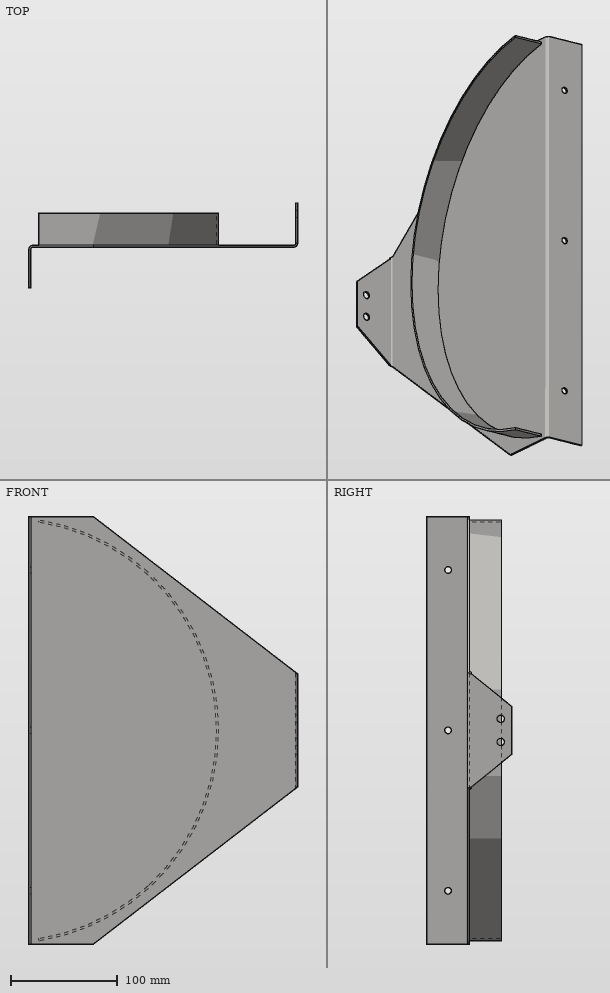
import cadquery as cq
import math

height = 400.0
width = 251.5
depth = 79.5
sheet = 2.0
bend_inner = 2.0
bend_outer = bend_inner + sheet
front_flange = 40.0
rear_flange = depth + sheet - front_flange

taper_start = 60.5
narrow_half = 53.0
tip_half = 22.5

mount_diameter = 6.0
mount_pitch = 150.0
mount_edge = 20.0
tip_hole_diameter = 7.0
tip_hole_pitch = 21.5
tip_hole_edge = 10.5

band_depth = 30.0
band_sheet = 2.0
band_left = 9.5
band_apex = 177.5
band_half = 197.0

front_tip = sheet - front_flange
rear_tip = rear_flange


def bent_sheet():
    """Z-shaped sheet profile with rounded bends, extruded over the full height."""
    return (
        cq.Workplane("XY")
        .workplane(offset=-height / 2)
        .moveTo(0, front_tip)
        .lineTo(0, sheet - bend_outer)
        .radiusArc((bend_outer, sheet), bend_outer)
        .lineTo(width - sheet - bend_inner, sheet)
        .radiusArc((width - sheet, sheet + bend_inner), -bend_inner)
        .lineTo(width - sheet, rear_tip)
        .lineTo(width, rear_tip)
        .lineTo(width, bend_outer)
        .radiusArc((width - bend_outer, 0), bend_outer)
        .lineTo(sheet + bend_inner, 0)
        .radiusArc((sheet, -bend_inner), -bend_inner)
        .lineTo(sheet, front_tip)
        .close()
        .extrude(height)
    )


def plate_envelope():
    """Tapered outline of the plate, extruded through the full depth."""
    half = height / 2
    return (
        cq.Workplane("XZ", origin=(0, rear_tip, 0))
        .polyline([
            (0, -half), (taper_start, -half), (width, -narrow_half),
            (width, narrow_half), (taper_start, half), (0, half),
        ])
        .close()
        .extrude(depth)
    )


def flange_envelope():
    """Outline that tapers the rear flange and leaves the rest of the sheet whole."""
    half = height / 2
    return (
        cq.Workplane("YZ")
        .polyline([
            (front_tip, -half), (bend_outer, -half), (bend_outer, -narrow_half), (rear_tip, -tip_half),
            (rear_tip, tip_half), (bend_outer, narrow_half), (bend_outer, half), (front_tip, half),
        ])
        .close()
        .extrude(width)
        .union(cq.Workplane("XY").box(width - bend_outer, 2 * depth, height, centered=(False, True, True)))
    )


def flange_holes(x, points, diameter):
    """Drill cutters through a flange whose left face is at x."""
    return (
        cq.Workplane("YZ", origin=(x - sheet, 0, 0))
        .pushPoints(points)
        .circle(diameter / 2)
        .extrude(3 * sheet)
    )


def curved_band():
    """Thin circular arc wall standing on the rear of the plate."""
    rise = band_apex - band_left
    radius = (band_half**2 + rise**2) / (2 * rise)
    center_x = band_apex - radius
    inner_radius = radius - band_sheet
    end_angle = math.atan2(band_half, band_left - center_x)
    inner_x = center_x + inner_radius * math.cos(end_angle)
    inner_half = inner_radius * math.sin(end_angle)
    return (
        cq.Workplane("XZ", origin=(0, sheet, 0))
        .moveTo(band_left, -band_half)
        .threePointArc((band_apex, 0), (band_left, band_half))
        .lineTo(inner_x, inner_half)
        .threePointArc((band_apex - band_sheet, 0), (inner_x, -inner_half))
        .close()
        .extrude(-band_depth)
    )


mount_points = [(front_tip + mount_edge, z) for z in (-mount_pitch, 0, mount_pitch)]
tip_points = [(rear_tip - tip_hole_edge, side * tip_hole_pitch / 2) for side in (-1, 1)]

bracket = bent_sheet().intersect(plate_envelope()).intersect(flange_envelope())
bracket = bracket.cut(flange_holes(0, mount_points, mount_diameter))
bracket = bracket.cut(flange_holes(width - sheet, tip_points, tip_hole_diameter))
result = bracket.union(curved_band())